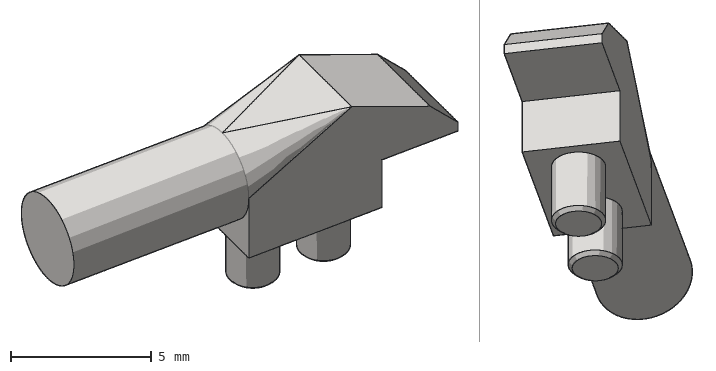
import cadquery as cq

total_length = 16.13
shaft_length = 7.34
block_length = 5.6
ridge_y = 11.66
beak_bend_y = 14.95

ridge_height = 5.06
shaft_axis_height = 2.7
beak_underside_height = 2.15
beak_tip_height = 2.53
beak_bend_height = 3.75

width = 3.56
half_width = width / 2
shaft_radius = half_width

pin_diameter = 1.94
pin_length = 2.42
pin_chamfer = 0.15
pin_positions_y = (8.61, 11.58)

block_back_y = shaft_length + block_length


def make_body():
    """Flat-sided block with its beak, sloping from the ridge down to the shaft axis."""
    profile = [
        (shaft_length, 0),
        (block_back_y, 0),
        (block_back_y, beak_underside_height),
        (total_length, beak_underside_height),
        (total_length, beak_tip_height),
        (beak_bend_y, beak_bend_height),
        (ridge_y, ridge_height),
        (shaft_length, shaft_axis_height),
    ]
    return cq.Workplane("YZ").polyline(profile).close().extrude(half_width, both=True)


def make_shaft():
    return (
        cq.Workplane("XZ", origin=(0, 0, shaft_axis_height))
        .circle(shaft_radius)
        .extrude(-shaft_length)
    )


def make_solid(faces):
    return cq.Workplane(cq.Solid.makeSolid(cq.Shell.makeShell(faces)))


def make_transition_center():
    """Tetrahedron from the whole ridge down to the upper vertical radius of the shaft end."""
    left = cq.Vector(-half_width, ridge_y, ridge_height)
    right = cq.Vector(half_width, ridge_y, ridge_height)
    axis = cq.Vector(0, shaft_length, shaft_axis_height)
    top = axis + cq.Vector(0, 0, shaft_radius)
    triangles = [(left, right, top), (left, right, axis), (left, axis, top), (right, axis, top)]
    faces = [
        cq.Face.makeFromWires(cq.Wire.makePolygon(corners, close=True))
        for corners in triangles
    ]
    return make_solid(faces)


def make_transition_side(side):
    """Oblique quarter cone from the upper shaft quadrant to one ridge end (side is -1 or 1)."""
    quadrant = (
        cq.Workplane("XZ", origin=(0, shaft_length, shaft_axis_height))
        .lineTo(side * shaft_radius, 0)
        .radiusArc((0, shaft_radius), -side * shaft_radius)
        .close()
        .val()
    )
    ridge_end = cq.Vertex.makeVertex(side * half_width, ridge_y, ridge_height)
    return cq.Workplane(cq.occ_impl.shapes.loft(cq.Face.makeFromWires(quadrant), ridge_end, ruled=True))


def make_pin(y):
    return (
        cq.Workplane("XY", origin=(0, y, 0))
        .circle(pin_diameter / 2)
        .extrude(-pin_length)
        .faces("<Z")
        .chamfer(pin_chamfer)
    )


result = make_body().union(make_transition_center())
for side in (-1, 1):
    result = result.union(make_transition_side(side))
result = result.union(make_shaft())
for pin_y in pin_positions_y:
    result = result.union(make_pin(pin_y))